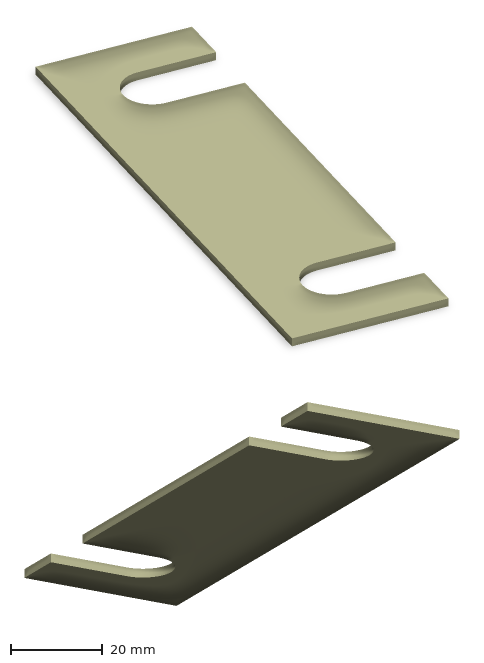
import cadquery as cq

length = 127.0
width = 38.1
thickness = 2.0

slot_width = 14.2
slot_spacing = 88.9
slot_radius = slot_width / 2
slot_center_y = 0.0


def slot_cutter(center_x):
    """Solid that cuts one slot from its round end out through the +Y edge."""
    return (
        cq.Workplane("XY")
        .moveTo(center_x - slot_radius, width / 2)
        .lineTo(center_x - slot_radius, slot_center_y)
        .threePointArc(
            (center_x, slot_center_y - slot_radius),
            (center_x + slot_radius, slot_center_y),
        )
        .lineTo(center_x + slot_radius, width / 2)
        .close()
        .extrude(thickness)
    )


result = cq.Workplane("XY").box(length, width, thickness, centered=(True, True, False))
for side in (-1, 1):
    result = result.cut(slot_cutter(side * slot_spacing / 2))